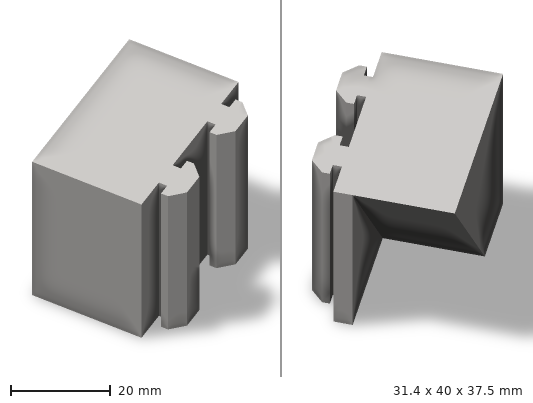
import cadquery as cq

total_length = 31.35
width = 40.0
height = 37.5

block_length = 25.1
plate_thickness = 4.0
wedge_bottom_gap = 24.9

rail_pitch = 20.0
neck_length = 1.9
neck_width = 5.7
head_width = 10.7
head_straight_length = 1.6
tip_width = 5.1
rail_overlap = 0.4


def make_plate():
    return (
        cq.Workplane("XY")
        .box(plate_thickness, width, height, centered=(False, True, False))
        .translate((block_length - plate_thickness, 0, 0))
    )


def make_wedge():
    """Prism along X whose +Y side slopes outwards to the top edge."""
    half_width = width / 2
    return (
        cq.Workplane("YZ")
        .polyline([
            (-half_width, 0),
            (half_width - wedge_bottom_gap, 0),
            (half_width, height),
            (-half_width, height),
        ])
        .close()
        .extrude(block_length)
    )


def make_rail(y_center):
    """Full-height rail with a narrow neck and a chamfered head."""
    head_start = block_length + neck_length
    taper_start = head_start + head_straight_length
    half_profile = [
        (block_length - rail_overlap, neck_width / 2),
        (head_start, neck_width / 2),
        (head_start, head_width / 2),
        (taper_start, head_width / 2),
        (total_length, tip_width / 2),
    ]
    mirrored_profile = [(x, -y) for x, y in reversed(half_profile)]
    return (
        cq.Workplane("XY")
        .polyline(half_profile + mirrored_profile)
        .close()
        .extrude(height)
        .translate((0, y_center, 0))
    )


result = make_plate().union(make_wedge())
for side in (-1, 1):
    result = result.union(make_rail(side * rail_pitch / 2))